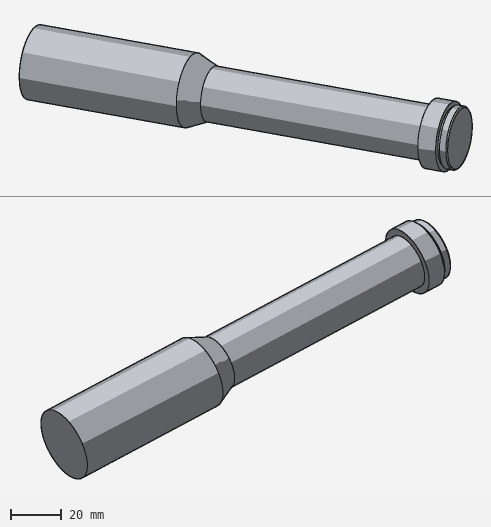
import cadquery as cq

handle_diameter = 30.0
shaft_diameter = 22.4
collar_diameter = 28.2
groove_diameter = 23.8
tip_diameter = 25.6

total_length = 181.9
handle_length = 67.1
neck_length = 8.7
collar_start = 169.9
collar_width = 7.6
groove_width = 1.1
tip_chamfer = 0.5

neck_end = handle_length + neck_length
collar_end = collar_start + collar_width
tip_start = collar_end + groove_width

handle_radius = handle_diameter / 2
shaft_radius = shaft_diameter / 2
collar_radius = collar_diameter / 2
groove_radius = groove_diameter / 2
tip_radius = tip_diameter / 2

profile = (
    cq.Workplane("XZ")
    .moveTo(0, 0)
    .lineTo(0, handle_radius)
    .lineTo(handle_length, handle_radius)
    .lineTo(neck_end, shaft_radius)
    .lineTo(collar_start, shaft_radius)
    .lineTo(collar_start, collar_radius)
    .lineTo(collar_end, collar_radius)
    .lineTo(collar_end, groove_radius)
    .lineTo(tip_start, groove_radius)
    .lineTo(tip_start, tip_radius)
    .lineTo(total_length - tip_chamfer, tip_radius)
    .lineTo(total_length, tip_radius - tip_chamfer)
    .lineTo(total_length, 0)
    .close()
)

result = profile.revolve(360, (0, 0, 0), (1, 0, 0))